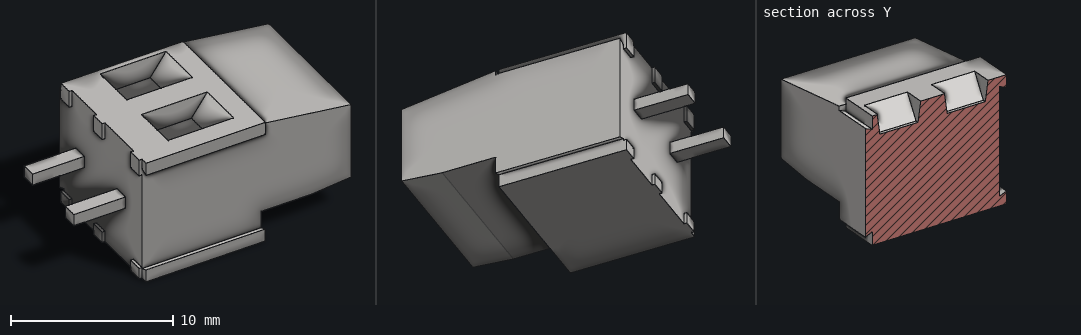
import cadquery as cq


POLES = 2
PITCH = 5.0
BODY_WIDTH = POLES * PITCH
HEIGHT = 9.0

BLOCK_DEPTH = 8.55
TOTAL_DEPTH = 15.0
BOTTOM_BREAK = 12.2

TAPER_TOP_FRONT = 8.58
TAPER_TOP_BACK = 7.7
TAPER_BOTTOM = 1.93
TAPER_BOTTOM_BACK = 2.2

RAIL_WIDTH = 0.5
RAIL_ROOT = 0.72
RAIL_TIP = 0.92

WINDOW_WIDTH = 3.2
WINDOW_FRONT = 2.4
WINDOW_BACK = 7.1
FLOOR_WIDTH = 2.8
FLOOR_FRONT = 3.18
FLOOR_BACK = 5.85
WINDOW_DEPTH = 1.42

PAD_WIDTH = 1.03
PAD_PROUD = 0.2
TOP_PAD_HEIGHT = 1.2
BOTTOM_PAD_HEIGHT = 0.8

PIN_WIDTH = 1.03
PIN_HEIGHT = 0.85
PIN_LENGTH = 3.7


def box(x, y, z, width, depth, height):
    """Box from its lowest corner and its X, Y, Z sizes."""
    return cq.Workplane("XY").box(width, depth, height, centered=False).translate((x, y, z))


def housing():
    """Side outline of the housing, extruded over all poles."""
    return (
        cq.Workplane("YZ")
        .moveTo(0, 0)
        .lineTo(BLOCK_DEPTH, 0)
        .lineTo(BLOCK_DEPTH, TAPER_BOTTOM)
        .lineTo(BOTTOM_BREAK, TAPER_BOTTOM)
        .lineTo(TOTAL_DEPTH, TAPER_BOTTOM_BACK)
        .lineTo(TOTAL_DEPTH, TAPER_TOP_BACK)
        .lineTo(BLOCK_DEPTH, TAPER_TOP_FRONT)
        .lineTo(BLOCK_DEPTH, HEIGHT)
        .lineTo(0, HEIGHT)
        .close()
        .extrude(BODY_WIDTH)
    )


def rails(x):
    """Bottom and top rails with dovetail inner faces, rooted at the given X."""
    bottom = (
        cq.Workplane("XZ")
        .moveTo(x, 0)
        .lineTo(x + RAIL_WIDTH, 0)
        .lineTo(x + RAIL_WIDTH, RAIL_TIP)
        .lineTo(x, RAIL_ROOT)
        .close()
        .extrude(-BLOCK_DEPTH)
    )
    top = bottom.mirror("XY").translate((0, 0, HEIGHT))
    return bottom.union(top)


def window(x_center):
    """Tapered pocket volume below the top face, narrowing to a flat floor."""
    opening_y = (WINDOW_FRONT + WINDOW_BACK) / 2
    floor_y = (FLOOR_FRONT + FLOOR_BACK) / 2
    return (
        cq.Workplane("XY", origin=(x_center, 0, HEIGHT))
        .center(0, opening_y)
        .rect(WINDOW_WIDTH, WINDOW_BACK - WINDOW_FRONT)
        .workplane(offset=-WINDOW_DEPTH)
        .center(0, floor_y - opening_y)
        .rect(FLOOR_WIDTH, FLOOR_BACK - FLOOR_FRONT)
        .loft(ruled=True)
    )


def pads(x):
    """Top and bottom stand-off pads on the pin-side face."""
    depth = 2 * PAD_PROUD
    bottom = box(x, -PAD_PROUD, 0, PAD_WIDTH, depth, BOTTOM_PAD_HEIGHT)
    top = box(x, -PAD_PROUD, HEIGHT - TOP_PAD_HEIGHT, PAD_WIDTH, depth, TOP_PAD_HEIGHT)
    return bottom.union(top)


def pin(x_center):
    """Straight rectangular pin at mid height."""
    return box(
        x_center - PIN_WIDTH / 2,
        -PIN_LENGTH,
        (HEIGHT - PIN_HEIGHT) / 2,
        PIN_WIDTH,
        PIN_LENGTH,
        PIN_HEIGHT,
    )


result = housing().cut(rails(0)).union(rails(BODY_WIDTH))

for pole in range(POLES):
    pole_x = (pole + 0.5) * PITCH
    result = result.cut(window(pole_x)).union(pin(pole_x))

middle_pad = (BODY_WIDTH - PAD_WIDTH) / 2
for pad_x in (RAIL_WIDTH, middle_pad, BODY_WIDTH - PAD_WIDTH):
    result = result.union(pads(pad_x))